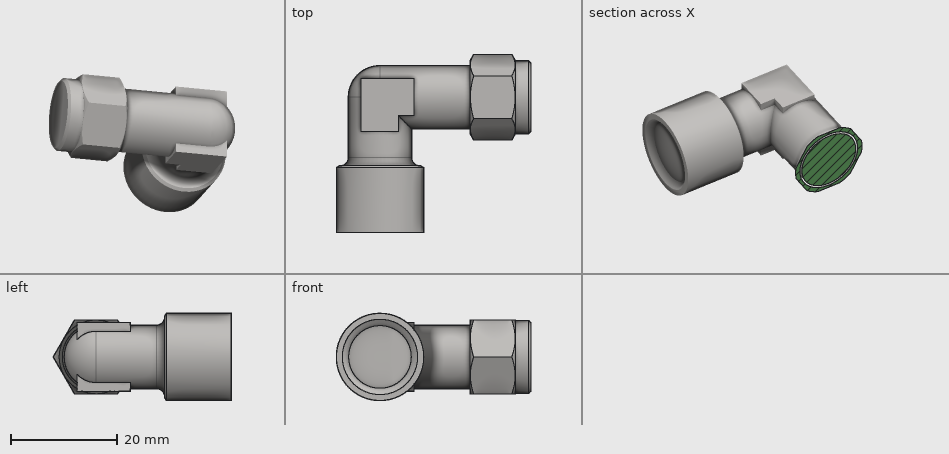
import cadquery as cq
import math

tube_radius = 6.0

socket_radius = 8.25
socket_end = 25.5
socket_start = 12.9
shoulder_fillet = 1.5
shoulder_chamfer_radial = 0.6
shoulder_chamfer_length = shoulder_chamfer_radial * math.tan(math.radians(30))

recess_mouth_radius = 7.1
recess_floor_radius = 5.9
recess_depth = 1.2

block_size = 10.0
block_outer_offset = 3.55
block_height = 13.0
block_notch = 3.0

nut_start = 17.0
nut_length = 8.5
nut_across_flats = 14.0
nut_corner_radius = nut_across_flats / math.sqrt(3)
nut_face_radius = 6.95
nut_chamfer_length = (nut_corner_radius - nut_face_radius) * math.tan(math.radians(30))
nut_end = nut_start + nut_length
nut_bore_radius = 6.35
nut_bore_depth = 0.5

collar_radius = 6.9
collar_end = 28.5
collar_chamfer = 0.5


def revolve_about_x(profile):
    return profile.close().revolve(360, (0, 0, 0), (1, 0, 0))


def revolve_about_y(profile):
    return profile.close().revolve(360, (0, 0, 0), (0, 1, 0))


def make_elbow():
    """Two round tubes joined by a ball at the corner."""
    ball = cq.Workplane("XY").sphere(tube_radius)
    socket_tube = cq.Workplane("XZ").circle(tube_radius).extrude(socket_start)
    nut_tube = cq.Workplane("YZ").circle(tube_radius).extrude(nut_end)
    return ball.union(socket_tube).union(nut_tube)


def make_socket():
    """Wide sleeve with a filleted, chamfered shoulder and a conical recess."""
    fillet_start = socket_start - shoulder_fillet
    fillet_mid_radius = tube_radius + shoulder_fillet * (1 - math.sqrt(0.5))
    fillet_mid_y = fillet_start + shoulder_fillet * math.sqrt(0.5)
    outline = (
        cq.Workplane("XY")
        .moveTo(0, -fillet_start)
        .lineTo(tube_radius, -fillet_start)
        .threePointArc(
            (fillet_mid_radius, -fillet_mid_y),
            (tube_radius + shoulder_fillet, -socket_start),
        )
        .lineTo(socket_radius - shoulder_chamfer_radial, -socket_start)
        .lineTo(socket_radius, -(socket_start + shoulder_chamfer_length))
        .lineTo(socket_radius, -socket_end)
        .lineTo(recess_mouth_radius, -socket_end)
        .lineTo(recess_floor_radius, -(socket_end - recess_depth))
        .lineTo(0, -(socket_end - recess_depth))
    )
    return revolve_about_y(outline)


def make_wrench_block():
    """L-shaped block standing proud of the tubes above and below."""
    outer = block_outer_offset
    inner = block_size - block_outer_offset
    step = inner - block_notch
    return (
        cq.Workplane("XY")
        .moveTo(-outer, outer)
        .lineTo(inner, outer)
        .lineTo(inner, -step)
        .lineTo(step, -step)
        .lineTo(step, -inner)
        .lineTo(-outer, -inner)
        .close()
        .extrude(block_height / 2, both=True)
    )


def make_nut():
    """Hexagon with conically chamfered ends and a gap around the tube."""
    hexagon = (
        cq.Workplane("YZ", origin=(nut_start, 0, 0))
        .polygon(6, 2 * nut_corner_radius)
        .extrude(nut_length)
    )
    chamfer_envelope = revolve_about_x(
        cq.Workplane("XY")
        .moveTo(nut_start, 0)
        .lineTo(nut_start, nut_face_radius)
        .lineTo(nut_start + nut_chamfer_length, nut_corner_radius)
        .lineTo(nut_end - nut_chamfer_length, nut_corner_radius)
        .lineTo(nut_end, nut_face_radius)
        .lineTo(nut_end, 0)
    )
    bore = (
        cq.Workplane("YZ", origin=(nut_start, 0, 0))
        .circle(nut_bore_radius)
        .extrude(nut_bore_depth)
    )
    return hexagon.intersect(chamfer_envelope).cut(bore)


def make_collar():
    """Round end behind the nut, with a chamfered rim."""
    outline = (
        cq.Workplane("XY")
        .moveTo(nut_end, 0)
        .lineTo(nut_end, collar_radius)
        .lineTo(collar_end - collar_chamfer, collar_radius)
        .lineTo(collar_end, collar_radius - collar_chamfer)
        .lineTo(collar_end, 0)
    )
    return revolve_about_x(outline)


result = (
    make_elbow()
    .union(make_nut())
    .union(make_collar())
    .union(make_socket())
    .union(make_wrench_block())
)